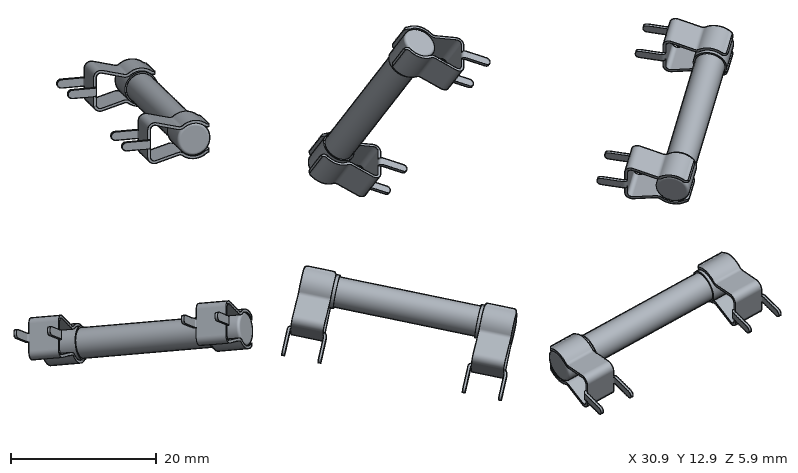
import cadquery as cq
import math

TUBE_RADIUS = 2.13
CAP_RADIUS = 2.35
CAP_LENGTH = 5.0
CAP_EDGE_ROUND = 0.4

OVERALL_LENGTH = 30.88
CLIP_SPACING = 25.38
SHEET = 0.4
STRIP_WIDTH = 4.5
CLIP_HEIGHT = 5.9
BACK_Y = -6.7
CORNER_RADIUS = 1.0
NECK_RADIUS = 0.65
NECK_ANGLE = 38.0
LIP_OUTER_ANGLE = 6.0
LIP_INNER_ANGLE = 12.0
LIP_CORNER_RADIUS = 0.68

LEG_WIDTH = 1.2
LEG_TIP_Y = -10.5

CLIP_HALF_HEIGHT = CLIP_HEIGHT / 2
GRIP_OUTER = CAP_RADIUS + SHEET
FUSE_HALF_LENGTH = (CLIP_SPACING + STRIP_WIDTH) / 2
LEG_OUTER_X = (OVERALL_LENGTH - CLIP_SPACING) / 2
LEG_BEND_OUTER = LEG_OUTER_X - STRIP_WIDTH / 2
LEG_BEND_INNER = LEG_BEND_OUTER - SHEET


def polar(center, radius, degrees):
    """Point at an angle measured from the +Z direction towards +Y."""
    angle = math.radians(degrees)
    return (center[0] + radius * math.sin(angle), center[1] + radius * math.cos(angle))


def make_fuse():
    tube = cq.Workplane("YZ").circle(TUBE_RADIUS).extrude(FUSE_HALF_LENGTH - CAP_LENGTH / 2, both=True)
    cap = (
        cq.Workplane("YZ", origin=(FUSE_HALF_LENGTH - CAP_LENGTH, 0, 0))
        .circle(CAP_RADIUS)
        .extrude(CAP_LENGTH)
        .faces(">X")
        .edges()
        .fillet(CAP_EDGE_ROUND)
    )
    return tube.union(cap).union(cap.mirror("YZ"))


def make_half_strip():
    """Upper half of the strip, from the middle of the back plate to the lip."""
    grip = (0, 0)
    neck = polar(grip, GRIP_OUTER + NECK_RADIUS, -NECK_ANGLE)
    lip = polar(grip, GRIP_OUTER + NECK_RADIUS, NECK_ANGLE)
    corner = (BACK_Y + CORNER_RADIUS, CLIP_HALF_HEIGHT - CORNER_RADIUS)

    run = neck[0] - corner[0]
    rise = neck[1] - corner[1]
    crossing = math.asin((NECK_RADIUS + CORNER_RADIUS) / math.hypot(run, rise))
    arm_angle = math.degrees(crossing - math.atan2(rise, run))

    inner_corner = CORNER_RADIUS - SHEET
    inner_neck = NECK_RADIUS + SHEET

    arm_below = 180 + arm_angle
    neck_below = 180 - NECK_ANGLE
    grip_below = 180 + NECK_ANGLE
    lip_outer_end = 180 - LIP_OUTER_ANGLE
    lip_inner_end = 180 - LIP_INNER_ANGLE

    def bend(outline, center, radius, start, end):
        """Continue the outline along an arc between two angles about a centre."""
        middle = polar(center, radius, (start + end) / 2)
        return outline.threePointArc(middle, polar(center, radius, end))

    outline = cq.Workplane("YZ").moveTo(BACK_Y, 0).lineTo(BACK_Y, corner[1])
    outline = bend(outline, corner, CORNER_RADIUS, -90, arm_angle)
    outline = outline.lineTo(*polar(neck, NECK_RADIUS, arm_below))
    outline = bend(outline, neck, NECK_RADIUS, arm_below, neck_below)
    outline = bend(outline, grip, GRIP_OUTER, -NECK_ANGLE, NECK_ANGLE)
    outline = bend(outline, lip, NECK_RADIUS, grip_below, lip_outer_end)

    outline = outline.lineTo(*polar(lip, inner_neck, lip_inner_end))
    outline = bend(outline, lip, inner_neck, lip_inner_end, grip_below)
    outline = bend(outline, grip, CAP_RADIUS, NECK_ANGLE, -NECK_ANGLE)
    outline = bend(outline, neck, inner_neck, neck_below, arm_below)
    outline = outline.lineTo(*polar(corner, inner_corner, arm_angle))
    outline = bend(outline, corner, inner_corner, arm_angle, -90)
    outline = outline.lineTo(BACK_Y + SHEET, 0).close()
    strip = outline.extrude(STRIP_WIDTH / 2, both=True)
    return round_lip_corners(strip, polar(lip, inner_neck, lip_inner_end)[0])


def round_lip_corners(strip, lip_end):
    """Trim the strip to a plan outline whose two corners at the lip are rounded."""
    plan = (
        cq.Workplane("XY", origin=(0, BACK_Y, 0))
        .box(STRIP_WIDTH, lip_end - BACK_Y, CLIP_HALF_HEIGHT, centered=(True, False, False))
        .edges("|Z and >Y")
        .fillet(LIP_CORNER_RADIUS)
    )
    return strip.intersect(plan)


def make_leg():
    """Leg on the +X side of a clip: a bent L in plan, rounded at its tip."""
    bend_x = STRIP_WIDTH / 2
    bend_y = BACK_Y - LEG_BEND_INNER

    def diagonal(radius):
        """Middle of the quarter-circle bend at the given radius."""
        reach = radius * math.sqrt(0.5)
        return (bend_x + reach, bend_y + reach)

    plan = (
        cq.Workplane("XY", origin=(0, 0, -LEG_WIDTH / 2))
        .moveTo(bend_x, BACK_Y + SHEET)
        .threePointArc(diagonal(LEG_BEND_OUTER), (LEG_OUTER_X, bend_y))
        .lineTo(LEG_OUTER_X, LEG_TIP_Y)
        .lineTo(LEG_OUTER_X - SHEET, LEG_TIP_Y)
        .lineTo(LEG_OUTER_X - SHEET, bend_y)
        .threePointArc(diagonal(LEG_BEND_INNER), (bend_x, BACK_Y))
        .close()
        .extrude(LEG_WIDTH)
    )
    half_width = LEG_WIDTH / 2
    tip_start_y = LEG_TIP_Y + half_width
    side = (
        cq.Workplane("YZ")
        .moveTo(BACK_Y + SHEET, half_width)
        .lineTo(tip_start_y, half_width)
        .threePointArc((LEG_TIP_Y, 0), (tip_start_y, -half_width))
        .lineTo(BACK_Y + SHEET, -half_width)
        .close()
        .extrude(LEG_OUTER_X)
    )
    return plan.intersect(side)


def make_clip():
    half_strip = make_half_strip()
    leg = make_leg()
    clip = half_strip.union(half_strip.mirror("XY"))
    return clip.union(leg).union(leg.mirror("YZ"))


clip = make_clip()
result = make_fuse()
for side in (-1, 1):
    result = result.union(clip.translate((side * CLIP_SPACING / 2, 0, 0)))